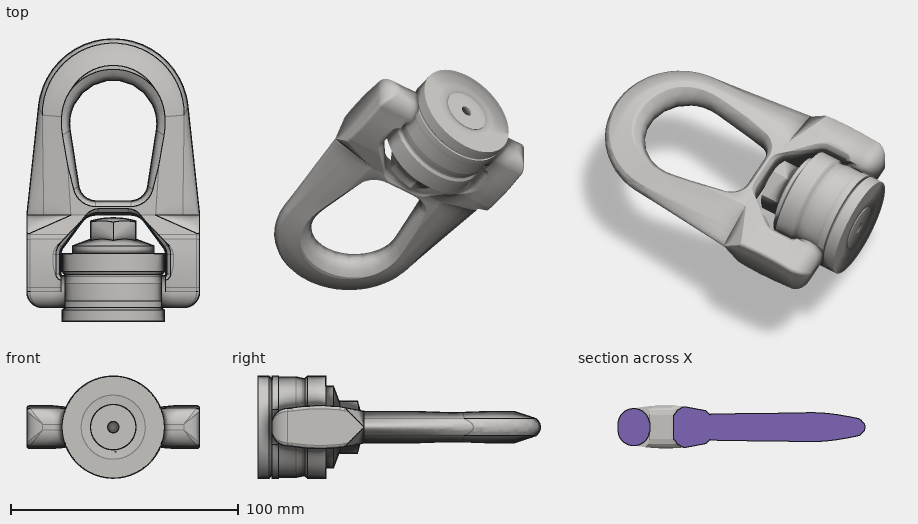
import cadquery as cq
import math


TOLERANCE = 0.01
CLEARANCE = 24.8

BOW_TOP = 124.2
BOW_CENTRE = 91.2
BOW_RADIUS = BOW_TOP - BOW_CENTRE
HALF_WIDTH = 38.0
SHOULDER = 46.7
BOW_HALF_THICKNESS = 7.0
NOSE_HALF_HEIGHT = 3.7
NOSE_INSET = 1.9
NOSE_FOOT_INSET = 7.5
CREST_INSET = 11.7
CREST_FOOT_INSET = 19.4

EYE_CENTRE = 87.0
EYE_RADIUS = 19.1
EYE_CORNER_RADIUS = 7.5
EYE_CORNER_X = 7.7
EYE_BOTTOM = 53.0
EYE_FLARE = 7.5
EYE_CORNER_FLARE = 4.0
EYE_EDGE_HEIGHT = 7.5

CHEEK_BOTTOM = 6.1
LUG_RADIUS = 14.0 / 2
LUG_CENTRE = CHEEK_BOTTOM + LUG_RADIUS
LUG_FLAT = 1.2
LUG_HALF_THICKNESS = LUG_FLAT + LUG_RADIUS
CHEEK_TOP = 38.1
CHEEK_TOP_HALF_THICKNESS = 8.6
RIM_RADIUS = 1.4
BULGE_START = 36.2
BULGE_START_HALF_THICKNESS = 9.0
BULGE_MIDDLE = 26.1
BULGE_HALF_THICKNESS = 9.5
BULGE_END = 14.9
BULGE_END_HALF_THICKNESS = 8.5
LUG_INNER = 22.9

OPENING_TOP = SHOULDER
OPENING_TOP_HALF_WIDTH = 11.4
OPENING_HALF_WIDTH = 23.0
OPENING_SHOULDER = 31.1
OPENING_BOTTOM = LUG_CENTRE + LUG_RADIUS
OPENING_TOP_RADIUS = 7.2
OPENING_SHOULDER_RADIUS = 5.0
OPENING_BOTTOM_RADIUS = 0.7
OPENING_FLARE = 4.5
OPENING_TOP_FLARE = 3.4
OPENING_EDGE_HEIGHT = 9.7

SWIVEL_RADIUS = 45.0 / 2
SWIVEL_FLAT = 21.1
BOLT_RADIUS = 19.9 / 2
BORE_RADIUS = 20.0 / 2

BASE_RIM = 5.0
BASE_TOP = 6.2
BASE_TOP_RADIUS = 20.9
DISH_RADIUS = 28.2 / 2
DISH_DEPTH = 0.4

BAND_TOP = 9.0
WAIST_RADIUS = 22.1
WAIST_TOP = 16.8
GROOVE_RADIUS = 21.5
GROOVE_LOWER = 19.8
GROOVE_UPPER = 20.6
COLLAR_BOTTOM = 21.9
COLLAR_TOP = 29.8
FLAT_TOP = OPENING_BOTTOM

BOLT_FLANGE_RADIUS = 36.0 / 2
BOLT_FLANGE_TOP = 33.2
HEX_BOTTOM = 36.2
HEX_CORNERS = 23.0
HEX_RADIUS = HEX_CORNERS / 2
HEX_CONE_RADIUS = 10.1
HEX_TOP = 45.7
HEX_SHOULDER = 43.7
CENTRE_HOLE_RADIUS = 5.0 / 2
CENTRE_HOLE_DEPTH = 5.0


def bow_outline(height, arc_inset, foot_inset):
    """Closed outline of the bow, moved in from the outer edge, at one height."""
    radius = BOW_RADIUS - arc_inset
    foot_x = HALF_WIDTH - foot_inset
    drop = BOW_CENTRE - SHOULDER
    angle = math.acos(radius / math.hypot(foot_x, drop)) - math.atan2(drop, foot_x)
    tangent_x = radius * math.cos(angle)
    tangent_y = BOW_CENTRE + radius * math.sin(angle)
    return (
        cq.Workplane("XY", origin=(0, 0, height))
        .moveTo(foot_x, SHOULDER)
        .lineTo(tangent_x, tangent_y)
        .threePointArc((0, BOW_CENTRE + radius), (-tangent_x, tangent_y))
        .lineTo(-foot_x, SHOULDER)
        .close()
        .val()
    )


def eye_outline(height, arc_growth, corner_growth):
    """Closed outline of the eye, opened out from its narrowest size, at one height."""
    radius = EYE_RADIUS + arc_growth
    corner_radius = EYE_CORNER_RADIUS + corner_growth
    corner_y = EYE_BOTTOM + EYE_CORNER_RADIUS
    rise = EYE_CENTRE - corner_y
    spread = math.hypot(EYE_CORNER_X, rise)
    angle = math.acos((radius - corner_radius) / spread) - math.atan2(rise, EYE_CORNER_X)
    side = (math.cos(angle), math.sin(angle))
    middle_angle = (angle - math.pi / 2) / 2
    middle = (math.cos(middle_angle), math.sin(middle_angle))

    def corner_point(direction, sign):
        x = EYE_CORNER_X + corner_radius * direction[0]
        return (sign * x, corner_y + corner_radius * direction[1])

    bow_x = radius * side[0]
    bow_y = EYE_CENTRE + radius * side[1]
    down = (0, -1)
    return (
        cq.Workplane("XY", origin=(0, 0, height))
        .moveTo(*corner_point(down, 1))
        .threePointArc(corner_point(middle, 1), corner_point(side, 1))
        .lineTo(bow_x, bow_y)
        .threePointArc((0, EYE_CENTRE + radius), (-bow_x, bow_y))
        .lineTo(*corner_point(side, -1))
        .threePointArc(corner_point(middle, -1), corner_point(down, -1))
        .close()
        .val()
    )


def make_bow():
    """Bow with a rounded rim, faces that rise to the crest."""
    middle = bow_outline(0, 0, 0)
    rims = [bow_outline(s * NOSE_HALF_HEIGHT, NOSE_INSET, NOSE_FOOT_INSET) for s in (-1, 1)]
    crests = [bow_outline(s * BOW_HALF_THICKNESS, CREST_INSET, CREST_FOOT_INSET) for s in (-1, 1)]
    bow = cq.Workplane(cq.Solid.makeLoft([rims[0], middle, rims[1]]))
    for rim, crest in zip(rims, crests):
        bow = bow.union(cq.Workplane(cq.Solid.makeLoft([rim, crest], True)))
    return bow


def make_eye_cutter():
    """Eye with an elliptical rounding on both edges."""
    sections = []
    for degrees in (-90, -60, -30, 0, 30, 60, 90):
        angle = math.radians(degrees)
        growth = 1 - math.cos(angle)
        height = EYE_EDGE_HEIGHT * math.sin(angle)
        sections.append(eye_outline(height, EYE_FLARE * growth, EYE_CORNER_FLARE * growth))
    return cq.Workplane(cq.Solid.makeLoft(sections))


def make_cheeks():
    """Both cheeks as one block: the side profile crossed with the plan outline."""
    corner = math.sqrt(0.5)
    profile = (
        cq.Workplane("YZ", origin=(-HALF_WIDTH, 0, 0))
        .moveTo(SHOULDER, -BOW_HALF_THICKNESS)
        .lineTo(SHOULDER, BOW_HALF_THICKNESS)
        .lineTo(CHEEK_TOP, CHEEK_TOP_HALF_THICKNESS)
        .lineTo(BULGE_START, BULGE_START_HALF_THICKNESS)
        .threePointArc((BULGE_MIDDLE, BULGE_HALF_THICKNESS), (BULGE_END, BULGE_END_HALF_THICKNESS))
        .lineTo(LUG_CENTRE, LUG_HALF_THICKNESS)
        .threePointArc(
            (LUG_CENTRE - corner * LUG_RADIUS, LUG_FLAT + corner * LUG_RADIUS),
            (CHEEK_BOTTOM, LUG_FLAT),
        )
        .lineTo(CHEEK_BOTTOM, -LUG_FLAT)
        .threePointArc(
            (LUG_CENTRE - corner * LUG_RADIUS, -LUG_FLAT - corner * LUG_RADIUS),
            (LUG_CENTRE, -LUG_HALF_THICKNESS),
        )
        .lineTo(BULGE_END, -BULGE_END_HALF_THICKNESS)
        .threePointArc((BULGE_MIDDLE, -BULGE_HALF_THICKNESS), (BULGE_START, -BULGE_START_HALF_THICKNESS))
        .lineTo(CHEEK_TOP, -CHEEK_TOP_HALF_THICKNESS)
        .close()
        .extrude(2 * HALF_WIDTH)
    )
    plan = (
        cq.Workplane("XY", origin=(0, (CHEEK_BOTTOM + SHOULDER) / 2, 0))
        .box(2 * HALF_WIDTH, SHOULDER - CHEEK_BOTTOM, CLEARANCE)
        .edges("|Z and <Y")
        .fillet(LUG_RADIUS)
    )
    cheeks = profile.intersect(plan)
    rims = cheeks.faces("<X or >X").edges("not |Z").vals()
    mitres = cheeks.edges("%ELLIPSE").vals()
    return cheeks.newObject(rims + mitres).fillet(RIM_RADIUS)


def make_shoulder_wedge(x_side, z_side):
    """Corner removed from a cheek so that it runs out to the rim of the bow."""
    outer_low = cq.Vector(x_side * HALF_WIDTH, SHOULDER, 0)
    outer_high = cq.Vector(x_side * HALF_WIDTH, CHEEK_TOP, z_side * CHEEK_TOP_HALF_THICKNESS)
    inner = cq.Vector(x_side * (HALF_WIDTH - CREST_FOOT_INSET), SHOULDER, z_side * BOW_HALF_THICKNESS)
    along = inner - outer_low
    normal = along.cross(outer_high - outer_low)
    if normal.z * z_side < 0:
        normal = normal * -1
    plane = cq.Plane(origin=outer_low, xDir=along, normal=normal)
    size = 4 * HALF_WIDTH
    return cq.Workplane(plane).rect(size, size).extrude(CLEARANCE)


def opening_section(height, flare, top_flare):
    """Outline of the opening at one height, with its edges moved out by the flares."""
    slant = math.atan2(OPENING_TOP - OPENING_SHOULDER, OPENING_HALF_WIDTH - OPENING_TOP_HALF_WIDTH)
    normal_x = math.sin(slant)
    normal_y = math.cos(slant)
    slant_distance = OPENING_HALF_WIDTH * normal_x + OPENING_SHOULDER * normal_y + flare
    side = OPENING_HALF_WIDTH + flare
    bottom = OPENING_BOTTOM - flare
    top = OPENING_TOP + top_flare
    shoulder = (slant_distance - side * normal_x) / normal_y
    top_half_width = (slant_distance - top * normal_y) / normal_x
    half = [(side, bottom), (side, shoulder), (top_half_width, top)]
    mirrored = [(-x, y) for x, y in reversed(half)]
    outline = cq.Wire.makePolygon([cq.Vector(x, y, height) for x, y in half + mirrored], close=True)

    radii = (OPENING_BOTTOM_RADIUS + flare, OPENING_SHOULDER_RADIUS + flare, OPENING_TOP_RADIUS)
    for (x, y), radius in zip(half, radii):
        corners = [v for v in outline.Vertices() if math.hypot(abs(v.X) - x, v.Y - y) < TOLERANCE]
        outline = outline.fillet2D(radius, corners)
    return outline


def make_opening():
    """Opening that is narrowest at mid height and rounded out towards both faces."""
    start = OPENING_EDGE_HEIGHT - OPENING_FLARE
    sections = [opening_section(0, 0, 0)]
    for degrees in (0, 30, 60, 90):
        angle = math.radians(degrees)
        height = start + OPENING_FLARE * math.sin(angle)
        bar_ratio = min(height / BOW_HALF_THICKNESS, 1)
        top_flare = OPENING_TOP_FLARE * (1 - math.sqrt(1 - bar_ratio ** 2))
        sections.append(opening_section(height, OPENING_FLARE * (1 - math.cos(angle)), top_flare))
    upper = cq.Workplane(cq.Solid.makeLoft(sections, True))
    return upper.union(upper.mirror("XY"))


def make_pivot_boss(side):
    """Rounded boss on the inner face of a cheek that bears on the flat of the housing."""
    return (
        cq.Workplane("YZ", origin=(side * SWIVEL_FLAT, LUG_CENTRE, 0))
        .slot2D(2 * LUG_HALF_THICKNESS, 2 * LUG_RADIUS, 90)
        .extrude(side * (LUG_INNER - SWIVEL_FLAT))
    )


def make_shackle():
    """Bow and cheeks in one piece, with the eye, the opening and the pivot bosses."""
    cheeks = make_cheeks()
    for x_side in (-1, 1):
        for z_side in (-1, 1):
            cheeks = cheeks.cut(make_shoulder_wedge(x_side, z_side))
    shackle = make_bow().cut(make_eye_cutter()).union(cheeks)
    shackle = shackle.cut(make_opening())
    slot = cq.Workplane("XY").box(2 * LUG_INNER, 2 * OPENING_BOTTOM, CLEARANCE)
    shackle = shackle.cut(slot)
    for side in (-1, 1):
        shackle = shackle.union(make_pivot_boss(side))
    return shackle


def revolve_about_y(half_profile):
    """Turned solid from the (radius, Y) points of its half section."""
    return cq.Workplane("XY").polyline(half_profile).close().revolve(360, (0, 0, 0), (0, 1, 0))


def make_base():
    """Base ring with a shallow dished underside."""
    return revolve_about_y([
        (BORE_RADIUS, DISH_DEPTH),
        (DISH_RADIUS, 0),
        (SWIVEL_RADIUS, 0),
        (SWIVEL_RADIUS, BASE_RIM),
        (BASE_TOP_RADIUS, BASE_TOP),
        (BORE_RADIUS, BASE_TOP),
    ])


def make_housing():
    """Grooved swivel housing with a flat on either side for the shackle's bosses."""
    housing = revolve_about_y([
        (BORE_RADIUS, BASE_TOP),
        (SWIVEL_RADIUS, BASE_TOP),
        (SWIVEL_RADIUS, BAND_TOP),
        (WAIST_RADIUS, BAND_TOP),
        (WAIST_RADIUS, WAIST_TOP),
        (GROOVE_RADIUS, GROOVE_LOWER),
        (GROOVE_RADIUS, GROOVE_UPPER),
        (SWIVEL_RADIUS, COLLAR_BOTTOM),
        (SWIVEL_RADIUS, COLLAR_TOP),
        (BORE_RADIUS, COLLAR_TOP),
    ])
    for side in (-1, 1):
        beyond_flat = (
            cq.Workplane("XY")
            .center(side * (SWIVEL_FLAT + CLEARANCE / 2), 0)
            .box(CLEARANCE, 2 * FLAT_TOP, 2 * CLEARANCE)
        )
        housing = housing.cut(beyond_flat)
    return housing


def make_bolt():
    """Flanged bolt with a domed hexagon and a centre hole in its lower end."""
    stem = revolve_about_y([
        (0, 0),
        (BOLT_RADIUS, 0),
        (BOLT_RADIUS, COLLAR_TOP),
        (BOLT_FLANGE_RADIUS, COLLAR_TOP),
        (BOLT_FLANGE_RADIUS, BOLT_FLANGE_TOP),
        (HEX_CONE_RADIUS, HEX_BOTTOM),
        (0, HEX_BOTTOM),
    ])
    hexagon = (
        cq.Workplane("XZ", origin=(0, BOLT_FLANGE_TOP, 0))
        .transformed(rotate=(0, 0, 90))
        .polygon(6, HEX_CORNERS)
        .extrude(BOLT_FLANGE_TOP - HEX_TOP)
    )
    sag = HEX_TOP - HEX_SHOULDER
    dome_radius = (HEX_RADIUS ** 2 + sag ** 2) / (2 * sag)
    dome = cq.Workplane("XY", origin=(0, HEX_TOP - dome_radius, 0)).sphere(dome_radius)
    centre_hole = cq.Workplane("XZ").circle(CENTRE_HOLE_RADIUS).extrude(-CENTRE_HOLE_DEPTH)
    return stem.union(hexagon.intersect(dome)).cut(centre_hole)


shackle = make_shackle()
base = make_base()
housing = make_housing()
bolt = make_bolt()

result = cq.Compound.makeCompound([shackle.val(), base.val(), housing.val(), bolt.val()])